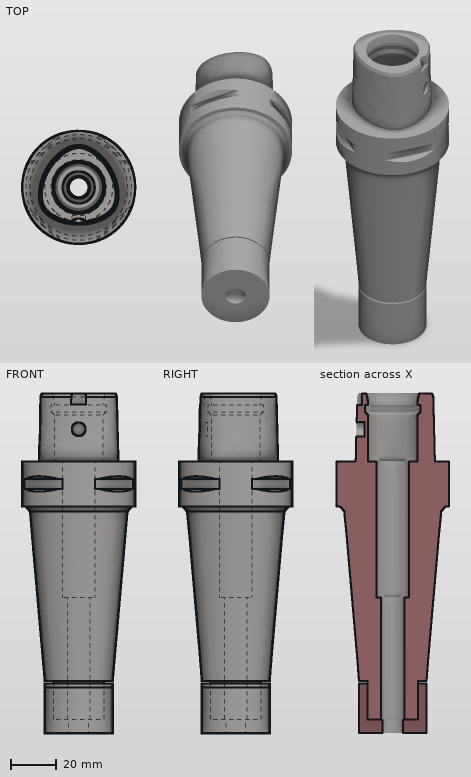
import cadquery as cq
import math

shank_height = 30.0
shank_base_radius = 17.6
shank_taper = 1 / 40
lobe_height = 1.12
shank_chamfer_height = 1.5
shank_chamfer_inset = 0.6
curve_points = 72

flange_radius = 25.0
flange_height = 20.0
collar_radius = 23.3
collar_height = 2.0
body_top_radius = 21.55
body_end_radius = 15.0
body_end_z = -97.0

nut_gap = 0.9
nut_radius = 15.05
nut_rim_radius = 15.1
nut_rim_height = 1.8
nut_top_z = body_end_z - nut_gap
nut_bottom_z = -120.0
nut_mouth_radius = 4.4
spigot_radius = 11.2
spigot_end_z = -114.0

mouth_radius = 11.65
bore_radius = 10.8
mouth_depth = 3.7
groove_top_depth = 5.2
groove_radius = 12.2
groove_bottom_depth = 9.5
groove_cone_top_depth = groove_bottom_depth - (groove_radius - bore_radius)
bore_depth = 30.0
middle_hole_radius = 7.1
middle_hole_end_z = -60.0
lower_hole_radius = 5.0

slot_count = 4
slot_floor_distance = 22.0
slot_z = -9.95
slot_floor_height = 4.4
slot_flare_distance = 22.9
slot_flare_angle = 30.0

notch_radius = 3.8
notch_depth = 4.9
notch_inner_y = -13.7
side_hole_radius = 3.0
side_hole_z = 14.2
side_hole_floor_y = -12.5


def lobed_section(z, mean_radius):
    """Closed three-lobed curve at height z, with one lobe toward +Y."""
    points = []
    for i in range(curve_points):
        angle = 2 * math.pi * i / curve_points
        along = (mean_radius * math.cos(angle) + 2 * lobe_height * math.cos(2 * angle)
                 - lobe_height * math.cos(4 * angle))
        across = (mean_radius * math.sin(angle) - 2 * lobe_height * math.sin(2 * angle)
                  - lobe_height * math.sin(4 * angle))
        points.append(cq.Vector(-across, along, z))
    return cq.Wire.assembleEdges([cq.Edge.makeSpline(points, periodic=True)])


def make_shank():
    """Tapered three-lobed shank with a chamfered upper edge."""
    chamfer_z = shank_height - shank_chamfer_height
    chamfer_radius = shank_base_radius - shank_taper * chamfer_z
    base = lobed_section(0, shank_base_radius)
    shoulder = lobed_section(chamfer_z, chamfer_radius)
    top = lobed_section(shank_height, chamfer_radius - shank_chamfer_inset)
    cone = cq.Solid.makeLoft([base, shoulder], True)
    chamfer = cq.Solid.makeLoft([shoulder, top], True)
    return cq.Workplane(cone).union(cq.Workplane(chamfer))


def revolve(profile):
    """Revolve an (r, z) outline about the Z axis."""
    return cq.Workplane("XZ").polyline(profile).close().revolve(360, (0, 0), (0, 1))


def make_body():
    """Flange, collar, long conical body and the spigot for the nut."""
    collar_end_z = -flange_height - collar_height
    return revolve([
        (0, 0),
        (flange_radius, 0),
        (flange_radius, -flange_height),
        (collar_radius, -flange_height),
        (body_top_radius, collar_end_z),
        (body_end_radius, body_end_z),
        (spigot_radius, body_end_z),
        (spigot_radius, spigot_end_z),
        (0, spigot_end_z),
    ])


def make_bore():
    """Stepped through bore with a tapered mouth and an inner groove."""
    return revolve([
        (0, shank_height),
        (mouth_radius, shank_height),
        (bore_radius, shank_height - mouth_depth),
        (bore_radius, shank_height - groove_top_depth),
        (groove_radius, shank_height - groove_top_depth),
        (groove_radius, shank_height - groove_cone_top_depth),
        (bore_radius, shank_height - groove_bottom_depth),
        (bore_radius, shank_height - bore_depth),
        (middle_hole_radius, shank_height - bore_depth),
        (middle_hole_radius, middle_hole_end_z),
        (lower_hole_radius, middle_hole_end_z),
        (lower_hole_radius, spigot_end_z),
        (0, spigot_end_z),
    ])


def make_gripper_slot(angle):
    """Flat-bottomed slot whose straight walls flare outward, cut across the flange rim."""
    half_floor = slot_floor_height / 2
    flare_depth = flange_radius - slot_flare_distance
    half_mouth = half_floor + flare_depth * math.tan(math.radians(slot_flare_angle))
    return (
        cq.Workplane("XZ")
        .polyline([
            (slot_floor_distance, slot_z - half_floor),
            (slot_flare_distance, slot_z - half_floor),
            (flange_radius, slot_z - half_mouth),
            (flange_radius, slot_z + half_mouth),
            (slot_flare_distance, slot_z + half_floor),
            (slot_floor_distance, slot_z + half_floor),
        ])
        .close()
        .extrude(flange_radius, both=True)
        .rotate((0, 0, 0), (0, 0, 1), angle)
    )


def make_key_notch():
    """Round vertical notch open at the top of the shank."""
    return (
        cq.Workplane("XY", origin=(0, notch_inner_y - notch_radius, shank_height - notch_depth))
        .circle(notch_radius)
        .extrude(notch_depth)
    )


def make_side_hole():
    """Blind radial hole with a flat floor."""
    return (
        cq.Workplane("XZ", origin=(0, side_hole_floor_y, side_hole_z))
        .circle(side_hole_radius)
        .extrude(flange_radius + side_hole_floor_y)
    )


def make_holder():
    holder = make_body().union(make_shank()).cut(make_bore())
    for i in range(slot_count):
        holder = holder.cut(make_gripper_slot(360 / slot_count * (i + 0.5)))
    return holder.cut(make_key_notch()).cut(make_side_hole())


def make_nut():
    """Round nut whose socket holds the spigot, with a smaller mouth below."""
    return revolve([
        (spigot_radius, nut_top_z),
        (nut_rim_radius, nut_top_z),
        (nut_rim_radius, nut_top_z - nut_rim_height),
        (nut_radius, nut_top_z - nut_rim_height),
        (nut_radius, nut_bottom_z),
        (nut_mouth_radius, nut_bottom_z),
        (nut_mouth_radius, spigot_end_z),
        (spigot_radius, spigot_end_z),
    ])


holder = make_holder()
nut = make_nut()
result = cq.Compound.makeCompound([holder.val(), nut.val()])